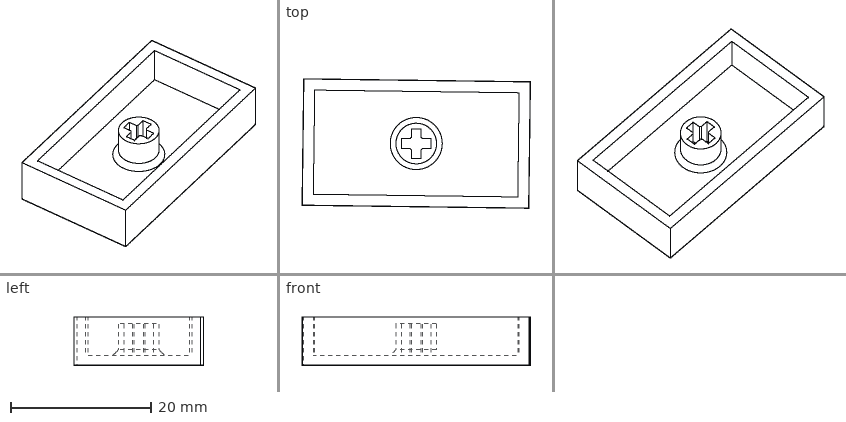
import cadquery as cq
import math

envelope_x = 32.57
envelope_y = 18.47
height = 6.9
tray_angle = 0.75

wall = 1.6
floor_thickness = 1.4

stem_diameter = 5.8
stem_top_drop = 0.98
foot_height = 0.8
foot_diameter = stem_diameter + 2 * foot_height
cross_length = 4.2
cross_width = 1.4
cross_corner_chamfer = 0.2

turn_cos = math.cos(math.radians(tray_angle))
turn_sin = math.sin(math.radians(tray_angle))
turn_scale = turn_cos**2 - turn_sin**2
tray_length = (envelope_x * turn_cos - envelope_y * turn_sin) / turn_scale
tray_width = (envelope_y * turn_cos - envelope_x * turn_sin) / turn_scale

stem_top = height - stem_top_drop
stem_height = stem_top - floor_thickness


def make_tray():
    """Open rectangular tray, turned about the vertical axis."""
    tray = (
        cq.Workplane("XY")
        .rect(tray_length, tray_width)
        .extrude(height)
        .faces(">Z")
        .workplane()
        .rect(tray_length - 2 * wall, tray_width - 2 * wall)
        .cutBlind(floor_thickness - height)
    )
    return tray.rotate((0, 0, 0), (0, 0, 1), -tray_angle)


def make_stem():
    """Round stem on the tray floor, widening to a cone at its foot."""
    foot_top = floor_thickness + foot_height
    return (
        cq.Workplane("XZ")
        .polyline([
            (0, floor_thickness),
            (foot_diameter / 2, floor_thickness),
            (stem_diameter / 2, foot_top),
            (stem_diameter / 2, stem_top),
            (0, stem_top),
        ])
        .close()
        .revolve(360, (0, 0), (0, 1))
    )


def make_cross_socket():
    """Cross-shaped cutter, aligned with X and Y, with chamfered inner corners, down to the tray floor."""
    bar_plane = cq.Workplane("XY").workplane(offset=floor_thickness)
    bar_x = bar_plane.rect(cross_length, cross_width).extrude(stem_height)
    bar_y = bar_plane.rect(cross_width, cross_length).extrude(stem_height)
    inner_corners = cq.selectors.BoxSelector(
        (-cross_width, -cross_width, 0),
        (cross_width, cross_width, height),
    )
    return bar_x.union(bar_y).edges("|Z").edges(inner_corners).chamfer(cross_corner_chamfer)


result = make_tray().union(make_stem()).cut(make_cross_socket())